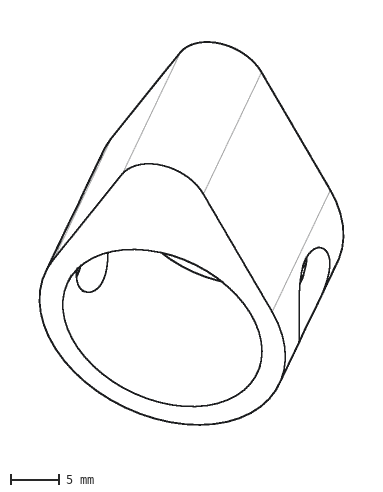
import cadquery as cq
import math

total_height = 37.07
width_y = 19.05
ring_radius = 13.45
bore_radius = 10.9
tip_radius = 5.0
cross_hole_radius = 5.0

tip_center_z = total_height - ring_radius - tip_radius
flank_sine = (ring_radius - tip_radius) / tip_center_z
flank_cosine = math.sqrt(1 - flank_sine**2)


def teardrop_body():
    """Ring and tip arcs joined by straight flanks tangent to both."""
    ring_x = ring_radius * flank_cosine
    ring_z = ring_radius * flank_sine
    tip_x = tip_radius * flank_cosine
    tip_z = tip_center_z + tip_radius * flank_sine
    return (
        cq.Workplane("XZ", origin=(0, width_y / 2, 0))
        .moveTo(-ring_x, ring_z)
        .lineTo(-tip_x, tip_z)
        .threePointArc((0, tip_center_z + tip_radius), (tip_x, tip_z))
        .lineTo(ring_x, ring_z)
        .threePointArc((0, -ring_radius), (-ring_x, ring_z))
        .close()
        .extrude(width_y)
    )


bore = cq.Workplane("XZ", origin=(0, width_y / 2, 0)).circle(bore_radius).extrude(width_y)

cross_hole = (
    cq.Workplane("YZ", origin=(-ring_radius, 0, 0))
    .circle(cross_hole_radius)
    .extrude(2 * ring_radius)
)

result = teardrop_body().cut(bore).cut(cross_hole)